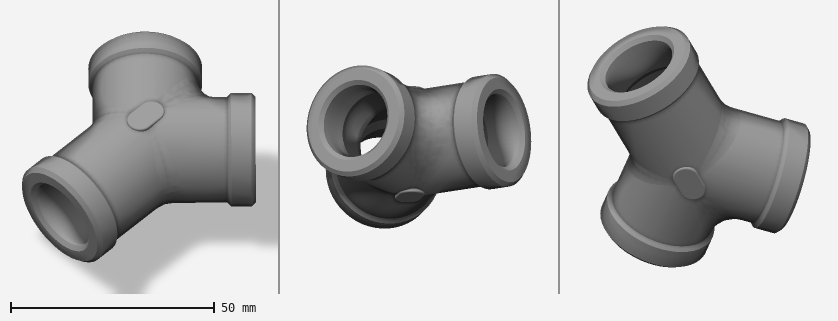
import cadquery as cq

main_length = 30.0
branch_length = 27.0
legs = [(-90.0, main_length), (45.0, branch_length), (135.0, branch_length)]

tube_diameter = 26.0
collar_diameter = 28.0
collar_length = 7.0
collar_chamfer = 1.0
crotch_radius = 8.0

bore_diameter = 18.2
bore_depth = 10.0
mouth_chamfer = 1.0
cavity_diameter = 21.8
cavity_taper_length = 2.0
cavity_crotch_radius = 6.0

pad_length = 10.4
pad_width = 6.4
pad_height = 0.5
pad_edge_radius = 0.4


def on_each_leg(make_solid):
    """Build make_solid(length) along +X for every leg, swing it into place and join the results."""
    solids = cq.Workplane("XY")
    for angle, length in legs:
        solids = solids.add(make_solid(length).rotate((0, 0, 0), (0, 0, 1), angle))
    return solids.combine()


def revolve_about_x(points):
    """Revolve a closed outline of (axial, radial) points about the X axis."""
    return cq.Workplane("XY").polyline(points).close().revolve(360, (0, 0, 0), (1, 0, 0))


def filleted_tripod(diameter, end_gap, crotch_fillet):
    """Three crossing cylinders, each short of its leg's end by end_gap, blended in the crotches."""
    def cylinder(length):
        return cq.Workplane("YZ").circle(diameter / 2).extrude(length - end_gap)

    return on_each_leg(cylinder).edges("%ELLIPSE").fillet(crotch_fillet)


def body():
    """Solid outer body; its tubes end halfway along the collars that complete the legs."""
    return filleted_tripod(tube_diameter, collar_length / 2, crotch_radius)


def collar(length):
    """Solid collar at the end of a leg, chamfered on both outer edges."""
    start = length - collar_length
    outer = collar_diameter / 2
    inner = outer - collar_chamfer
    return revolve_about_x([
        (start, 0),
        (start, inner),
        (start + collar_chamfer, outer),
        (length - collar_chamfer, outer),
        (length, inner),
        (length, 0),
    ])


def pads():
    """Oval bar through the crossing whose rounded ends form both raised pads."""
    pad_top = tube_diameter / 2 + pad_height
    base = cq.Workplane("XY", origin=(0, 0, -pad_top))
    bar = base.slot2D(pad_length, pad_width, 90).extrude(2 * pad_top)
    return bar.faces("|Z").edges().fillet(pad_edge_radius)


def cavity_trim(length):
    """Block covering the end of a leg from the start of the cavity's taper outward."""
    trim_length = bore_depth + cavity_taper_length
    end = cq.Workplane("YZ", origin=(length - trim_length, 0, 0))
    return end.rect(collar_diameter, collar_diameter).extrude(trim_length)


def cavity():
    """Central space, ending square across each leg where its taper starts."""
    space = filleted_tripod(cavity_diameter, 0, cavity_crotch_radius)
    return space.cut(on_each_leg(cavity_trim))


def socket(length):
    """Space inside the end of a leg: taper from the cavity, bore and chamfered mouth."""
    bore_start = length - bore_depth
    taper_start = bore_start - cavity_taper_length
    bore_radius = bore_diameter / 2
    return revolve_about_x([
        (taper_start, 0),
        (taper_start, cavity_diameter / 2),
        (bore_start, bore_radius),
        (length - mouth_chamfer, bore_radius),
        (length, bore_radius + mouth_chamfer),
        (length, 0),
    ])


result = body().union(on_each_leg(collar)).union(pads())
result = result.cut(cavity()).cut(on_each_leg(socket))